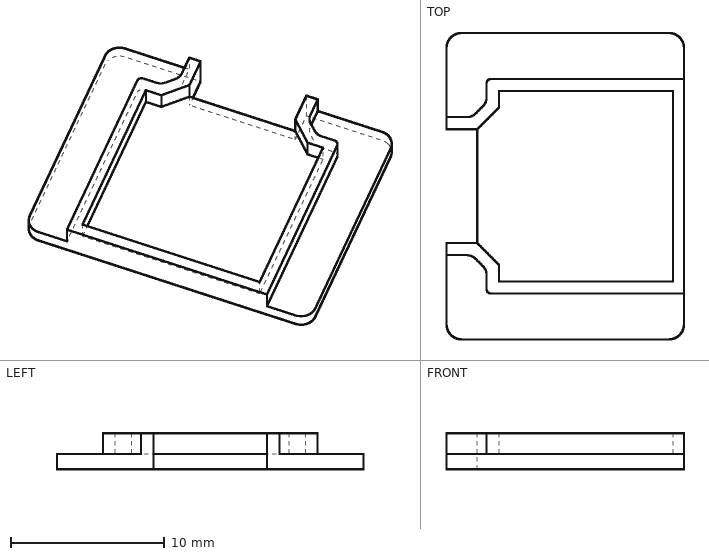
import cadquery as cq

length_x = 15.5
width_y = 20.0
base_height = 1.0
corner_radius = 1.0

total_height = 2.35
wall = 0.8
back_wall = 0.75
wall_half_width = 7.0
wall_front_x = 2.62
wall_corner_radius = 0.3
bend_radius = 0.8

notch_depth = 2.0
notch_half_width = 3.7

pocket_front_x = wall_front_x + wall
pocket_back_x = length_x - back_wall
pocket_half_width = wall_half_width - wall
splay_end_y = notch_half_width + pocket_front_x - notch_depth

tab_outer_y = notch_half_width + wall
outer_splay_rise = notch_half_width - notch_depth + wall * 2 ** 0.5
outer_bend_low = (tab_outer_y - outer_splay_rise, tab_outer_y)
outer_bend_high = (wall_front_x, wall_front_x + outer_splay_rise)


def symmetric_prism(half_outline, height):
    """Extrude an outline given for +Y and mirrored across the X axis."""
    mirrored = [(x, -y) for x, y in reversed(half_outline)]
    return cq.Workplane("XY").polyline(half_outline + mirrored).close().extrude(height)


def fillet_upright_edges(body, corner, radius):
    """Round the upright edge at a corner and at its mirror image."""
    x, y = corner
    for side_y in (y, -y):
        edge = cq.selectors.NearestToPointSelector((x, side_y, total_height / 2))
        body = body.edges("|Z").edges(edge).fillet(radius)
    return body


def make_base():
    plate = cq.Workplane("XY").box(length_x, width_y, base_height, centered=(False, True, False))
    plate = plate.edges("|Z").fillet(corner_radius)
    notch = cq.Workplane("XY").box(
        notch_depth, 2 * notch_half_width, base_height, centered=(False, True, False)
    )
    return plate.cut(notch)


def make_wall():
    outer_corner = (wall_front_x, wall_half_width)
    body = symmetric_prism(
        [(0, tab_outer_y), outer_bend_low, outer_bend_high, outer_corner, (length_x, wall_half_width)],
        total_height,
    )
    body = fillet_upright_edges(body, outer_corner, wall_corner_radius)
    body = fillet_upright_edges(body, outer_bend_high, bend_radius)
    body = fillet_upright_edges(body, outer_bend_low, bend_radius)
    opening = symmetric_prism(
        [
            (0, notch_half_width),
            (notch_depth, notch_half_width),
            (pocket_front_x, splay_end_y),
            (pocket_front_x, pocket_half_width),
            (pocket_back_x, pocket_half_width),
        ],
        total_height,
    )
    return body.cut(opening)


result = make_base().union(make_wall()).translate((-length_x / 2, 0, 0))